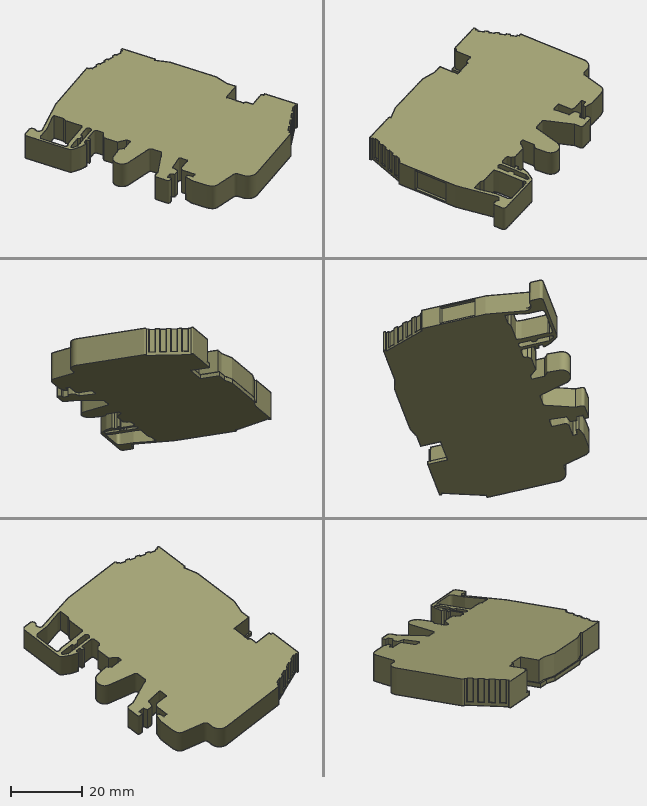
import cadquery as cq
import math

LENGTH = 66.25
HEIGHT = 49.55
THICKNESS = 8.0

WALL_LEFT = 1.2
WALL_TOP = 36.05
WALL_BOTTOM = 16.95
MIDLINE = (WALL_LEFT + LENGTH) / 2
SHOULDER = 48.5
UNDERSIDE = 11.4
LEG_ROOF = 11.0
ROOT_HEIGHT = 12.0
SLOT_LEFT = 42.8
SLOT_RIGHT = 49.75
SLOT_FLOOR = 42.65

FLANGE = 1.25
RIM_DROP = 0.4
RIM_DEPTH = 0.65
RIM_SIDE = 0.45
RIM_START = 16.4
RIM_START_Y = 47.95
RIM_END = 51.15

GRIP_LOW = (2.1, 36.4)
GRIP_HIGH = (6.3, 47.7)
GRIP_COUNT = 4
GRIP_FIRST = 36.5
GRIP_PITCH = 2.9
GRIP_HEIGHT = 1.8
GRIP_DEPTH = 0.45
GRIP_RUNOUT = 0.25
LEDGE = 1.05

MARKER_BOTTOM = 20.2
MARKER_TOP = 30.5
MARKER_LOW_Z = 0.6
MARKER_HIGH_Z = 7.4
MARKER_DEPTH = 0.6
MARKER_DRAFT_TOP = 0.45
MARKER_DRAFT = 0.2

FOOT_HEIGHT = 4.0
FOOT_CORNER = 0.85
ARM_FOOT_X = 3.5
ARM_FILLET = 1.45
RELIEF_ARM_Y = 5.0
RELIEF_BOTTOM = (2.6, 3.5)
RELIEF_FOOT_X = 1.45
RIB_RIGHT = 16.55
TOOTH_TIP = 17.5
WINDOW_FLOOR = 0.8

PEG_BOTTOM = 0.6
PEG_RADIUS = 2.5
HOOK_LEFT = 41.35
HOOK_RIGHT = 46.1
RIGHT_LEG_BOTTOM = 3.2

OVERCUT = 1.3


def rounded_face(corners):
    """Closed wire through (x, y, radius) corners; radius 0 leaves a sharp corner."""
    def toward(start, end, distance):
        span = math.dist(start, end)
        return tuple(a + (b - a) * distance / span for a, b in zip(start, end))

    edges = []
    for index, (x, y, radius) in enumerate(corners):
        here = (x, y)
        before = corners[index - 1][:2]
        after = corners[(index + 1) % len(corners)][:2]
        if radius == 0:
            edges.append((here,))
            continue
        angle_in = math.atan2(before[1] - y, before[0] - x)
        angle_out = math.atan2(after[1] - y, after[0] - x)
        half_angle = abs(math.remainder(angle_out - angle_in, math.tau)) / 2
        setback = radius / math.tan(half_angle)
        start = toward(here, before, setback)
        end = toward(here, after, setback)
        chord_middle = tuple((a + b) / 2 for a, b in zip(start, end))
        middle = toward(here, chord_middle, radius / math.sin(half_angle) - radius)
        edges.append((start, middle, end))

    sketch = cq.Workplane("XY").moveTo(*edges[0][-1])
    for edge in edges[1:] + edges[:1]:
        sketch = sketch.lineTo(*edge[0])
        if len(edge) > 1:
            sketch = sketch.threePointArc(edge[1], edge[2])
    return sketch.close()


def mirrored(corners):
    """Corners mirrored about the housing midline, in reverse order."""
    return [(2 * MIDLINE - x, y, radius) for x, y, radius in reversed(corners)]


foot_and_arm = [
    (0, 0, FOOT_CORNER),
    (0, FOOT_HEIGHT, FOOT_CORNER),
    (ARM_FOOT_X, FOOT_HEIGHT, ARM_FILLET),
    (WALL_LEFT, WALL_BOTTOM, 0),
]
left_grip_side = [
    (WALL_LEFT, WALL_TOP, 0.3),
    (1.9, 35.9, 0),
    (*GRIP_LOW, 0),
    (*GRIP_HIGH, 0),
    (5.8, 47.9, 0),
    (5.8, SHOULDER, 0.2),
]
crown_and_slot = [
    (17.1, SHOULDER, 0),
    (20.5, HEIGHT, 0),
    (35.8, HEIGHT, 0),
    (38.95, SHOULDER, 0),
    (SLOT_LEFT, SHOULDER, 0),
    (SLOT_LEFT, SLOT_FLOOR, 0),
    (SLOT_RIGHT, SLOT_FLOOR, 0),
    (SLOT_RIGHT, SHOULDER, 0),
]
right_leg = [
    (LENGTH, ROOT_HEIGHT, 3.0),
    (61.0, ROOT_HEIGHT, 1.1),
    (58.7, 3.65, 1.9),
    (56.45, RIGHT_LEG_BOTTOM, 0),
    (51.75, RIGHT_LEG_BOTTOM, 0),
    (49.35, 3.9, 0),
    (49.35, 4.8, 0),
    (51.1, 5.05, 0),
    (51.1, 6.2, 0),
    (46.3, 6.2, 1.05),
    (46.3, LEG_ROOF, 0.25),
]
hook_leg = [
    (43.6, LEG_ROOF, 0.45),
    (44.05, 6.0, 0),
    (HOOK_RIGHT, 5.4, 0.6),
    (HOOK_RIGHT, 3.5, 0),
    (44.85, 3.1, 0),
    (44.85, 1.45, 0),
    (HOOK_RIGHT, 1.45, 0),
    (HOOK_RIGHT, 0, 0.5),
    (HOOK_LEFT, 0, 0.85),
    (HOOK_LEFT, 2.5, 0),
    (38.0, LEG_ROOF, 0.3),
]
center_peg = [
    (34.3, LEG_ROOF, 0.8),
    (31.5, PEG_BOTTOM, PEG_RADIUS),
    (27.1, PEG_BOTTOM, PEG_RADIUS),
    (26.7, 6.5, 0.3),
    (27.9, 7.6, 0),
    (27.9, UNDERSIDE, 0.2),
]
underside_block = [
    (26.6, UNDERSIDE, 0),
    (24.85, 9.35, 0),
    (20.6, 9.35, 0),
    (19.75, 10.2, 0),
    (19.55, UNDERSIDE, 0.65),
]
toothed_rib = [
    (RIB_RIGHT, UNDERSIDE, 0.8),
    (RIB_RIGHT, 7.1, 0),
    (TOOTH_TIP, 7.1, 0),
    (TOOTH_TIP, 6.2, 0),
    (RIB_RIGHT, 6.2, 0),
    (RIB_RIGHT, 5.0, 0),
    (TOOTH_TIP, 4.7, 0),
    (16.7, 2.65, 2.65),
    (14.9, 0, 0.9),
]
outline = (
    foot_and_arm + left_grip_side + crown_and_slot + mirrored(left_grip_side)
    + right_leg + hook_leg + center_peg + underside_block + toothed_rib
)

wide_window = [
    (4.4, WINDOW_FLOOR, 1.0),
    (4.4, 5.6, 0),
    (3.25, 10.85, 0),
    (3.25, ROOT_HEIGHT, 0),
    (6.2, ROOT_HEIGHT, 0),
    (7.3, UNDERSIDE, 0),
    (12.6, UNDERSIDE, 0.25),
    (12.8, 9.9, 0),
    (12.8, 2.1, 0),
    (13.05, 1.85, 0),
    (13.05, WINDOW_FLOOR, 0.5),
]
narrow_window = [
    (14.1, 1.2, 0.3),
    (14.1, 5.55, 0),
    (14.8, 6.1, 0),
    (14.8, 7.15, 0),
    (14.1, 7.7, 0),
    (14.1, UNDERSIDE, 0.7),
    (15.7, UNDERSIDE, 0.7),
    (15.7, 2.65, 0),
    (14.85, 1.2, 0.2),
]


def rim_recess():
    """Cutter that sets the crown and slot edges back above the base flange."""
    above = HEIGHT + OVERCUT
    low = SHOULDER - RIM_DEPTH
    profile = [
        (RIM_START, above),
        (RIM_START, RIM_START_Y),
        (20.7, HEIGHT - RIM_DROP),
        (35.3, HEIGHT - RIM_DROP),
        (39.5, low),
        (SLOT_LEFT - RIM_SIDE, low),
        (SLOT_LEFT - RIM_SIDE, SLOT_FLOOR - RIM_DEPTH),
        (47.8, SLOT_FLOOR - RIM_DEPTH),
        (48.2, SLOT_FLOOR),
        (SLOT_RIGHT + RIM_DEPTH, SLOT_FLOOR),
        (SLOT_RIGHT + RIM_DEPTH, low),
        (RIM_END, low),
        (RIM_END, above),
    ]
    return cq.Workplane("XY", origin=(0, 0, FLANGE)).polyline(profile).close().extrude(THICKNESS)


def grip_grooves():
    """Cutter for the grooves of the left slanted side."""
    slope = (GRIP_HIGH[0] - GRIP_LOW[0]) / (GRIP_HIGH[1] - GRIP_LOW[1])

    def side_point(y, inset):
        return (GRIP_LOW[0] + slope * (y - GRIP_LOW[1]) + inset, y)

    grooves = cq.Workplane("XY", origin=(0, 0, LEDGE))
    for number in range(GRIP_COUNT):
        low = GRIP_FIRST + number * GRIP_PITCH
        high = low + GRIP_HEIGHT
        grooves = grooves.polyline([
            side_point(low, -GRIP_DEPTH),
            side_point(low, 0),
            side_point(low, GRIP_DEPTH),
            side_point(high - GRIP_RUNOUT, GRIP_DEPTH),
            side_point(high, 0),
            side_point(high, -GRIP_DEPTH),
        ]).close()
    return grooves.extrude(THICKNESS)


def marker_recess():
    """Cutter for the drafted rectangular recess in the left wall."""
    def rectangle(x, bottom, top, low_z):
        corners = [
            (x, bottom, low_z),
            (x, top, low_z),
            (x, top, MARKER_HIGH_Z),
            (x, bottom, MARKER_HIGH_Z),
        ]
        return cq.Wire.makePolygon([cq.Vector(*corner) for corner in corners], close=True)

    mouth = rectangle(WALL_LEFT, MARKER_BOTTOM, MARKER_TOP, MARKER_LOW_Z)
    floor = rectangle(
        WALL_LEFT + MARKER_DEPTH,
        MARKER_BOTTOM + MARKER_DRAFT,
        MARKER_TOP - MARKER_DRAFT_TOP,
        MARKER_LOW_Z + MARKER_DRAFT,
    )
    return cq.Workplane(cq.Solid.makeLoft([mouth, floor], True))


def foot_relief():
    """Cutter that replaces the arm fillet by a round groove, above a thin ledge."""
    arm_fraction = (RELIEF_ARM_Y - FOOT_HEIGHT) / (WALL_BOTTOM - FOOT_HEIGHT)
    arm_x = ARM_FOOT_X + arm_fraction * (WALL_LEFT - ARM_FOOT_X)
    profile = (
        cq.Workplane("XY", origin=(0, 0, LEDGE))
        .moveTo(arm_x, RELIEF_ARM_Y)
        .threePointArc(RELIEF_BOTTOM, (RELIEF_FOOT_X, FOOT_HEIGHT))
        .lineTo(WALL_LEFT, WALL_BOTTOM)
        .close()
    )
    return profile.extrude(THICKNESS)


left_grooves = grip_grooves()
right_grooves = left_grooves.mirror("YZ", (MIDLINE, 0, 0))

result = rounded_face(outline).extrude(THICKNESS)
for window in (wide_window, narrow_window):
    result = result.cut(rounded_face(window).extrude(THICKNESS))
for cutter in (rim_recess(), left_grooves, right_grooves, marker_recess(), foot_relief()):
    result = result.cut(cutter)